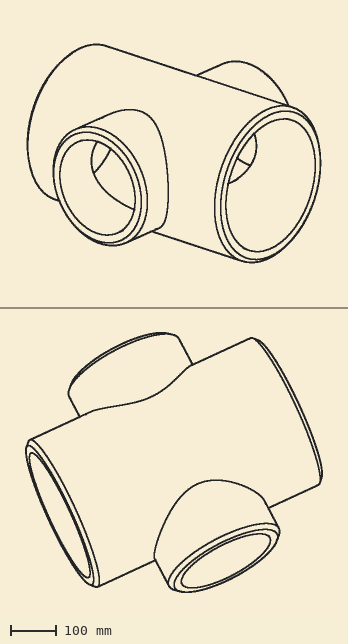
import cadquery as cq

run_length = 559.0
run_outer_diameter = 355.5
run_bore_diameter = 300.5

branch_span = 514.0
branch_outer_diameter = 272.5
branch_bore_diameter = 218.0

bevel = 9.5


def centred_cylinder(plane, diameter, length):
    """Cylinder centred on the origin, with its axis normal to the plane."""
    return cq.Workplane(plane).circle(diameter / 2).extrude(length / 2, both=True)


run_body = centred_cylinder("YZ", run_outer_diameter, run_length).faces("<X or >X").chamfer(bevel)
branch_body = centred_cylinder("XZ", branch_outer_diameter, branch_span).faces("<Y or >Y").chamfer(bevel)

run_bore = centred_cylinder("YZ", run_bore_diameter, run_length)
branch_bore = centred_cylinder("XZ", branch_bore_diameter, branch_span)

result = run_body.union(branch_body).cut(run_bore).cut(branch_bore)